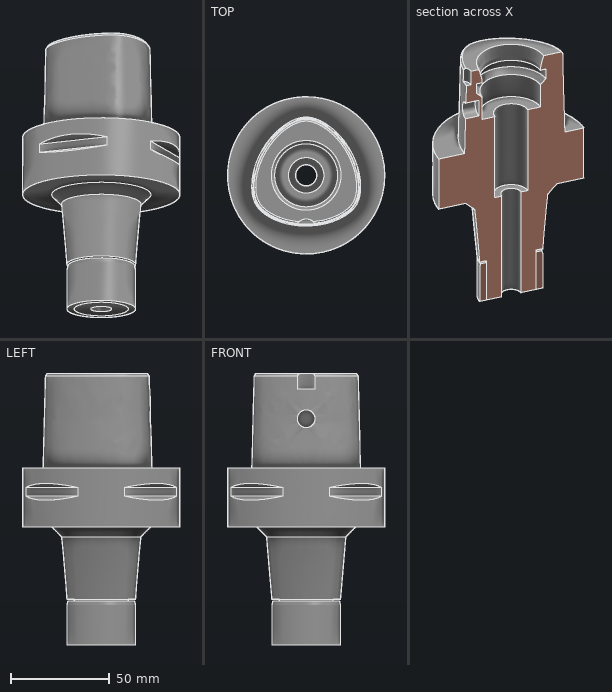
import cadquery as cq
import math


SHANK_LENGTH = 48.0
SHANK_BASE_RADIUS = 27.7
ECCENTRICITY = 1.9
OUTLINE_POINTS = 36
TAPER = 1 / 40
SHANK_CHAMFER_LENGTH = 1.3
SHANK_CHAMFER_INSET = 0.9

FLANGE_RADIUS = 40.0
FLANGE_LENGTH = 30.0
COLLAR_RADIUS = 25.2
COLLAR_LENGTH = 5.0
NECK_TOP_RADIUS = COLLAR_RADIUS - COLLAR_LENGTH
NECK_END_RADIUS = 17.5
NECK_END_Z = -66.7

NUT_RADIUS = 17.5
NUT_TOP_Z = -67.5
NUT_BOTTOM_Z = -90.0
NUT_CHAMFER_LENGTH = 2.1
NUT_CHAMFER_INSET = 0.5
SPIGOT_RADIUS = 13.75

BORE_MOUTH_RADIUS = 17.7
BORE_RADIUS = 16.0
MOUTH_CONE_DEPTH = 6.5
GROOVE_RADIUS = 18.9
GROOVE_START_DEPTH = 8.5
GROOVE_END_DEPTH = 14.0
GROOVE_CONE_LENGTH = GROOVE_RADIUS - BORE_RADIUS
BORE_DEPTH = 30.0
COUNTERBORE_RADIUS = 9.0
COUNTERBORE_FLOOR_Z = -30.0
THROUGH_HOLE_RADIUS = 5.3

KEYWAY_RADIUS = 5.5
KEYWAY_DEPTH = 8.0
KEYWAY_BOTTOM_Y = -22.2
LOCATING_HOLE_RADIUS = 4.5
LOCATING_HOLE_DEPTH = 23.0
LOCATING_HOLE_FLOOR_Y = -18.0

GRIPPER_COUNT = 4
GRIPPER_FIRST_ANGLE = 45.0
GRIPPER_CENTER_Z = -12.1
GRIPPER_FLOOR_DISTANCE = 35.4
GRIPPER_FLOOR_WIDTH = 4.3
GRIPPER_MOUTH_WIDTH = 8.5


def turned(outline):
    """Solid of revolution about Z from (radius, z) points."""
    return cq.Workplane("XZ").polyline(outline).close().revolve(360, (0, 0, 0), (0, 1, 0))


def lobed_wire(mean_radius, z):
    """Three-lobed outline whose tangents lie at mean_radius + e * cos(3 * angle) from the axis."""
    e = ECCENTRICITY

    points = []
    for index in range(OUTLINE_POINTS):
        a = math.pi + 2 * math.pi * index / OUTLINE_POINTS
        along_lobe = mean_radius * math.cos(a) + 2 * e * math.cos(2 * a) - e * math.cos(4 * a)
        across_lobe = mean_radius * math.sin(a) - 2 * e * math.sin(2 * a) - e * math.sin(4 * a)
        points.append(cq.Vector(-across_lobe, along_lobe, z))
    return cq.Wire.assembleEdges([cq.Edge.makeSpline(points, periodic=True)])


def make_shank():
    chamfer_z = SHANK_LENGTH - SHANK_CHAMFER_LENGTH
    chamfer_radius = SHANK_BASE_RADIUS - chamfer_z * TAPER
    base = lobed_wire(SHANK_BASE_RADIUS, 0)
    chamfer = lobed_wire(chamfer_radius, chamfer_z)
    top = lobed_wire(chamfer_radius - SHANK_CHAMFER_INSET, SHANK_LENGTH)
    body = cq.Workplane(cq.Solid.makeLoft([base, chamfer], True))
    return body.union(cq.Workplane(cq.Solid.makeLoft([chamfer, top], True)))


def make_turned_body():
    """Flange, collar cone, tapered neck and spigot."""
    return turned([
        (0, 0),
        (FLANGE_RADIUS, 0),
        (FLANGE_RADIUS, -FLANGE_LENGTH),
        (COLLAR_RADIUS, -FLANGE_LENGTH),
        (NECK_TOP_RADIUS, -FLANGE_LENGTH - COLLAR_LENGTH),
        (NECK_END_RADIUS, NECK_END_Z),
        (SPIGOT_RADIUS, NECK_END_Z),
        (SPIGOT_RADIUS, NUT_BOTTOM_Z),
        (0, NUT_BOTTOM_Z),
    ])


def make_bore():
    top = SHANK_LENGTH
    return turned([
        (0, top),
        (BORE_MOUTH_RADIUS, top),
        (BORE_RADIUS, top - MOUTH_CONE_DEPTH),
        (BORE_RADIUS, top - GROOVE_START_DEPTH),
        (GROOVE_RADIUS, top - GROOVE_START_DEPTH),
        (GROOVE_RADIUS, top - GROOVE_END_DEPTH),
        (BORE_RADIUS, top - GROOVE_END_DEPTH - GROOVE_CONE_LENGTH),
        (BORE_RADIUS, top - BORE_DEPTH),
        (COUNTERBORE_RADIUS, top - BORE_DEPTH),
        (COUNTERBORE_RADIUS, COUNTERBORE_FLOOR_Z),
        (THROUGH_HOLE_RADIUS, COUNTERBORE_FLOOR_Z),
        (THROUGH_HOLE_RADIUS, NUT_BOTTOM_Z),
        (0, NUT_BOTTOM_Z),
    ])


def make_keyway():
    return (
        cq.Workplane("XY", origin=(0, KEYWAY_BOTTOM_Y - KEYWAY_RADIUS, SHANK_LENGTH))
        .circle(KEYWAY_RADIUS)
        .extrude(-KEYWAY_DEPTH)
    )


def make_locating_hole():
    return (
        cq.Workplane("XZ", origin=(0, LOCATING_HOLE_FLOOR_Y, SHANK_LENGTH - LOCATING_HOLE_DEPTH))
        .circle(LOCATING_HOLE_RADIUS)
        .extrude(FLANGE_RADIUS)
    )


def make_gripper_groove(angle):
    half_floor = GRIPPER_FLOOR_WIDTH / 2
    half_mouth = GRIPPER_MOUTH_WIDTH / 2
    section = [
        (GRIPPER_FLOOR_DISTANCE, -half_floor),
        (FLANGE_RADIUS, -half_mouth),
        (FLANGE_RADIUS, half_mouth),
        (GRIPPER_FLOOR_DISTANCE, half_floor),
    ]
    return (
        cq.Workplane("XZ", origin=(0, 0, GRIPPER_CENTER_Z))
        .polyline(section)
        .close()
        .extrude(FLANGE_RADIUS, both=True)
        .rotate((0, 0, 0), (0, 0, 1), angle)
    )


def make_holder():
    holder = make_turned_body().union(make_shank())
    holder = holder.cut(make_bore()).cut(make_keyway()).cut(make_locating_hole())
    for index in range(GRIPPER_COUNT):
        angle = GRIPPER_FIRST_ANGLE + index * 360 / GRIPPER_COUNT
        holder = holder.cut(make_gripper_groove(angle))
    return holder


def make_nut():
    return turned([
        (SPIGOT_RADIUS, NUT_TOP_Z),
        (NUT_RADIUS - NUT_CHAMFER_INSET, NUT_TOP_Z),
        (NUT_RADIUS, NUT_TOP_Z - NUT_CHAMFER_LENGTH),
        (NUT_RADIUS, NUT_BOTTOM_Z),
        (SPIGOT_RADIUS, NUT_BOTTOM_Z),
    ])


holder = make_holder()
nut = make_nut()
result = cq.Compound.makeCompound([holder.val(), nut.val()])